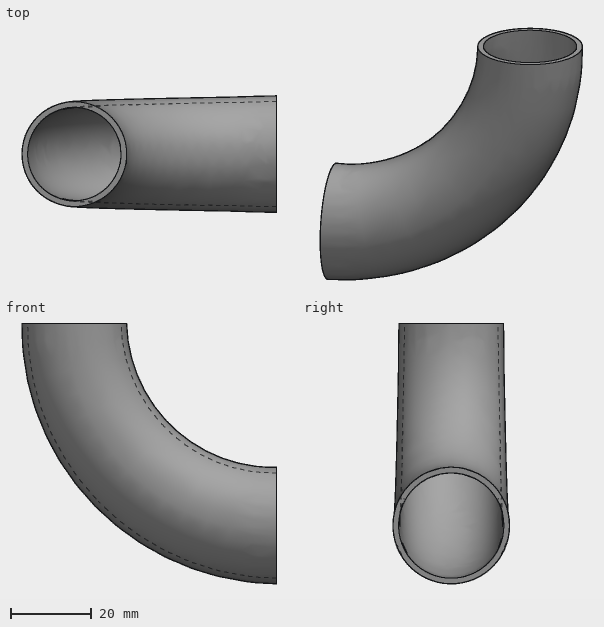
import cadquery as cq

bend_radius = 50.0
small_diameter = 25.9
large_diameter = 28.9
wall = 1.4

centre_line = cq.Workplane("XZ").radiusArc((bend_radius, -bend_radius), -bend_radius)


def tapered_bend(start_diameter, end_diameter):
    """Solid quarter bend whose round section grows along the centre line."""
    start = cq.Workplane("XY").circle(start_diameter / 2)
    end_plane = cq.Plane(origin=(bend_radius, 0, -bend_radius), xDir=(0, 0, 1), normal=(1, 0, 0))
    end = cq.Workplane(end_plane).circle(end_diameter / 2)
    sections = start.add(end).toPending()
    return sections.sweep(centre_line, multisection=True)


outside = tapered_bend(small_diameter, large_diameter)
bore = tapered_bend(small_diameter - 2 * wall, large_diameter - 2 * wall)

result = outside.cut(bore)